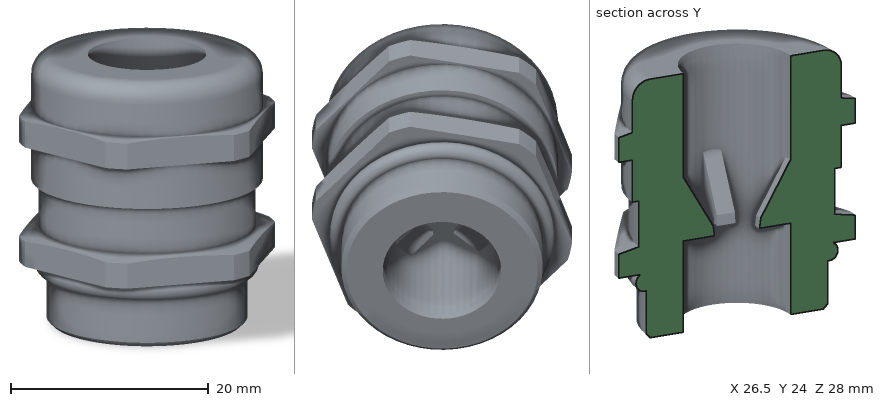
import cadquery as cq
import math

height = 28.0
bore_radius = 6.0

thread_radius = 10.2
thread_chamfer = 0.5

seal_cord_radius = 1.0
seal_outer_radius = 11.35
seal_height = 6.13

neck_radius = 11.0
cap_radius = 11.73
cap_bottom = 14.98
cap_round = 2.02

hex_across_flats = 24.0
hex_corner_radius = 13.25
hex_cone_slope = 0.2
lower_hex_bottom = 7.0
lower_hex_height = 2.63
upper_hex_bottom = 19.52
upper_hex_height = 2.72

finger_count = 4
finger_width = 2.02
finger_tip_radius = 2.5
finger_top = 16.8
finger_angle = 60.0
finger_lip = 0.15
finger_thickness = 1.12
wall_overlap = 0.85


def cylinder(radius, bottom, top):
    return cq.Workplane("XY").workplane(offset=bottom).circle(radius).extrude(top - bottom)


def hexagon(bottom, corner_height, shaft_radius):
    """Hexagon whose conical top rises from its turned corners to the shaft."""
    cone_rise = hex_cone_slope * (hex_corner_radius - shaft_radius)
    corner_top = bottom + corner_height
    across_corners = hex_across_flats / math.cos(math.pi / 6)
    prism = (
        cq.Workplane("XY")
        .workplane(offset=bottom)
        .polygon(6, across_corners)
        .extrude(corner_height + cone_rise)
    )
    turned = (
        cq.Workplane("XZ")
        .moveTo(0, bottom)
        .lineTo(hex_corner_radius, bottom)
        .lineTo(hex_corner_radius, corner_top)
        .lineTo(shaft_radius, corner_top + cone_rise)
        .lineTo(0, corner_top + cone_rise)
        .close()
        .revolve(360, (0, 0, 0), (0, 1, 0))
    )
    return prism.intersect(turned)


def seal_ring():
    ring = (
        cq.Workplane("XZ")
        .center(seal_outer_radius - seal_cord_radius, seal_height)
        .circle(seal_cord_radius)
        .revolve(360, (seal_cord_radius - seal_outer_radius, 0, 0),
                 (seal_cord_radius - seal_outer_radius, 1, 0))
    )
    return ring.intersect(cylinder(hex_corner_radius, 0, lower_hex_bottom))


def finger():
    """Finger that slopes down from the bore wall and ends in a blunt tip."""
    slope = math.tan(math.radians(finger_angle))
    root_radius = bore_radius + wall_overlap
    root_top = finger_top + slope * wall_overlap
    lip_radius = finger_tip_radius + finger_lip
    lip_top = finger_top - slope * (bore_radius - lip_radius)
    tip_bottom = lip_top - finger_thickness
    return (
        cq.Workplane("XZ")
        .moveTo(root_radius, root_top)
        .lineTo(lip_radius, lip_top)
        .lineTo(finger_tip_radius, tip_bottom)
        .lineTo(root_radius, tip_bottom)
        .close()
        .extrude(finger_width / 2, both=True)
    )


thread = cylinder(thread_radius, 0, lower_hex_bottom).faces("<Z").chamfer(thread_chamfer)
neck = cylinder(neck_radius, lower_hex_bottom, cap_bottom)
cap = cylinder(cap_radius, cap_bottom, height).faces(">Z").edges().fillet(cap_round)

result = thread.union(neck).union(cap).union(seal_ring())
result = result.union(hexagon(lower_hex_bottom, lower_hex_height, neck_radius))
result = result.union(hexagon(upper_hex_bottom, upper_hex_height, cap_radius))
result = result.cut(cylinder(bore_radius, 0, height))

for index in range(finger_count):
    result = result.union(finger().rotate((0, 0, 0), (0, 0, 1), index * 360 / finger_count))